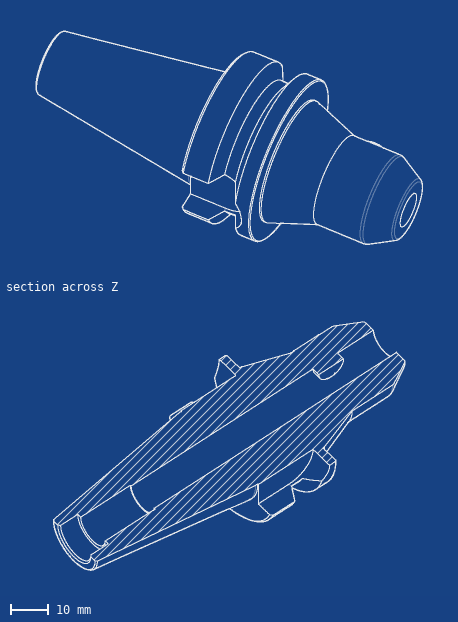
import cadquery as cq

length = 105.7

shank_tip_radius = 9.1
shank_tip_chamfer = 0.4
shank_radius = 31.7 / 2
shank_taper_end = 48.7

flange_radius = 46.0 / 2
flange_start = 49.5
flange_end = 70.5
flange_chamfer = 0.6
flange_back_chamfer = 0.3
groove_radius = 18.8
groove_start = 57.5
groove_floor_start = 60.0
groove_floor_end = 63.4
groove_end = 65.9

nose_cone_start_radius = 17.3
nose_cone_start = 71.0
nose_radius = 25.4 / 2
nose_start = 84.1
nose_end = 98.3
nose_tip_radius = 8.6
nose_tip_rounding = 0.8
nose_shoulder_rounding = 1.6

slot_width = 16.3
slot_end = 68.0
slot_floor = 16.1

entry_radius = 12.6 / 2
entry_chamfer = 0.5
entry_depth = 6.3
bore_radius = 9.5 / 2
pilot_radius = 10.1 / 2
pilot_end = 23.2

screw_diameter = 8.5
screw_x = 89.3
screw_inner_end = 2.3
screw_outer_end = 12.8


def revolve_about_x(points):
    """Revolve a closed (x, radius) outline about the X axis."""
    return cq.Workplane("XY").polyline(points).close().revolve(360, (0, 0, 0), (1, 0, 0))


def make_body():
    """Shank, grooved flange and nose as one turned solid."""
    body = revolve_about_x([
        (0, 0),
        (0, shank_tip_radius - shank_tip_chamfer),
        (shank_tip_chamfer, shank_tip_radius),
        (shank_taper_end, shank_radius),
        (flange_start, shank_radius),
        (flange_start, flange_radius - flange_chamfer),
        (flange_start + flange_chamfer, flange_radius),
        (groove_start, flange_radius),
        (groove_floor_start, groove_radius),
        (groove_floor_end, groove_radius),
        (groove_end, flange_radius),
        (flange_end - flange_back_chamfer, flange_radius),
        (flange_end, flange_radius - flange_back_chamfer),
        (flange_end, nose_cone_start_radius),
        (nose_cone_start, nose_cone_start_radius),
        (nose_start, nose_radius),
        (nose_end, nose_radius),
        (length, nose_tip_radius),
        (length, 0),
    ])
    body = body.faces(">X").edges().fillet(nose_tip_rounding)
    shoulder = cq.selectors.BoxSelector(
        (nose_end - 0.1, -flange_radius, -flange_radius),
        (nose_end + 0.1, flange_radius, flange_radius),
    )
    return body.edges(shoulder).edges("%CIRCLE").fillet(nose_shoulder_rounding)


def make_bore():
    """Through bore with a stepped pilot and chamfered entry at the shank tip."""
    return revolve_about_x([
        (0, 0),
        (0, entry_radius + entry_chamfer),
        (entry_chamfer, entry_radius),
        (entry_depth, entry_radius),
        (entry_depth, pilot_radius),
        (pilot_end, pilot_radius),
        (pilot_end, bore_radius),
        (length, bore_radius),
        (length, 0),
    ])


def make_slot(side):
    """Round-ended drive slot; side is +1 or -1 along Y."""
    half_width = slot_width / 2
    round_center = slot_end - half_width
    return (
        cq.Workplane("XZ", origin=(0, side * slot_floor, 0))
        .moveTo(flange_start, -half_width)
        .lineTo(round_center, -half_width)
        .threePointArc((slot_end, 0), (round_center, half_width))
        .lineTo(flange_start, half_width)
        .close()
        .extrude(-side * flange_radius)
    )


def make_screw():
    """Plain cylinder standing along Y and reaching into the bore."""
    return (
        cq.Workplane("XZ", origin=(screw_x, screw_inner_end, 0))
        .circle(screw_diameter / 2)
        .extrude(screw_inner_end - screw_outer_end)
    )


result = make_body().cut(make_bore())
for side in (-1, 1):
    result = result.cut(make_slot(side))
result = result.union(make_screw())